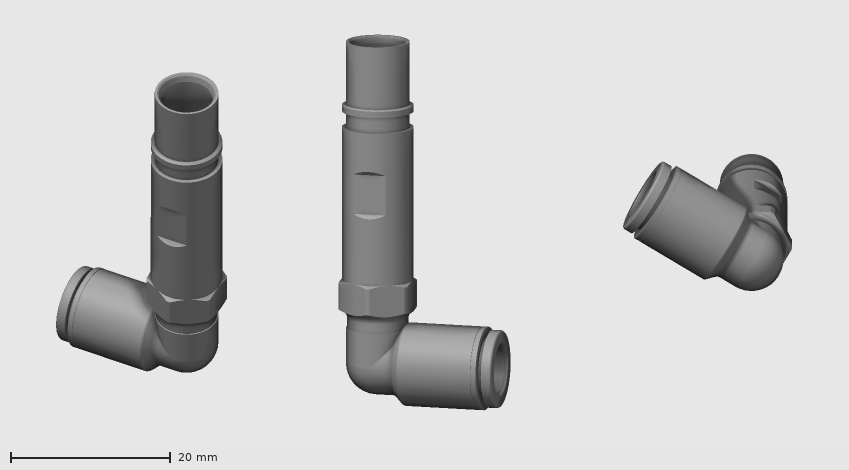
import cadquery as cq
import math


DIAGONAL = math.sqrt(0.5)
HALF_ARC = math.radians(22.5)

ELBOW_R = 4.0
ELBOW_TOP_Z = 4.5

NECK_R = 3.85
NECK_BLEND_Z = 5.75
NECK_BLEND_R = 1.0
HEX_FLAT_R = 4.5
HEX_CORNER_R = 5.05
HEX_HALF_ANGLE = math.radians(30)
HEX_BOTTOM_Z = 6.7
HEX_HEIGHT = 4.0
HEX_TOP_Z = HEX_BOTTOM_Z + HEX_HEIGHT
HEX_CHAMFER_H = (HEX_CORNER_R - HEX_FLAT_R) * math.tan(HEX_HALF_ANGLE)

BARREL_R = HEX_FLAT_R
BARREL_TOP_Z = 30.2
TUBE_R = 4.0
STEM_TOP_Z = 41.15
FLANGE_BOTTOM_Z = 32.25
FLANGE_TOP_Z = 33.2
FLANGE_CHAMFER_W = 0.25
FLANGE_CHAMFER_H = 0.15

FLAT_Y = 4.0
FLAT_BOTTOM_Z = 19.75
FLAT_TOP_Z = 24.8
FLAT_REACH = 2 * (BARREL_R - FLAT_Y)

BORE_R = 3.25
MOUTH_CHAMFER = 0.2
MOUTH_CONE_R = 3.5
MOUTH_DEPTH = 0.95
BORE_CONE_TOP_Z = 14.0
PILOT_R = 2.0
BORE_CONE_HALF_ANGLE = math.radians(59)
PILOT_FLOOR_Z = HEX_BOTTOM_Z
BORE_CONE_BOTTOM_Z = BORE_CONE_TOP_Z - (BORE_R - PILOT_R) / math.tan(BORE_CONE_HALF_ANGLE)
ORIFICE_R = 1.5
ORIFICE_FLOOR_Z = ELBOW_TOP_Z

SOCKET_R = 5.25
SOCKET_END_X = -14.1
SOCKET_EDGE_R = 0.45
SOCKET_BLEND_R = 0.9
BLEND_START_X = -2.23
CONE_START_X = BLEND_START_X - SOCKET_BLEND_R * DIAGONAL
CONE_START_R = ELBOW_R + SOCKET_BLEND_R * (1 - DIAGONAL)
CONE_END_X = CONE_START_X - (SOCKET_R - CONE_START_R)
EDGE_SETBACK = SOCKET_EDGE_R * math.tan(HALF_ARC)
SEAM_X = -13.38
SEAM_W = 0.12
SEAM_DEPTH = 0.1

COLLET_R = 4.9
COLLET_OUTER_X = -16.0
COLLET_INNER_X = -14.7
COLLET_EDGE_R = 0.3
COLLET_NECK_R = 4.0
TUBE_HOLE_R = 3.05
TUBE_HOLE_MOUTH_R = 3.35
TUBE_HOLE_MOUTH_DEPTH = 0.45
TUBE_HOLE_FLOOR_X = -4.0


def revolve_on_z(profile):
    """Revolve an XZ profile of (radius, z) points about the Z axis."""
    return profile.close().revolve(360, (0, 0), (0, 1))


def revolve_on_x(profile):
    """Revolve an XZ profile of (x, radius) points about the X axis."""
    return profile.close().revolve(360, (0, 0), (1, 0))


def make_stem():
    blend_top_z = NECK_BLEND_Z + NECK_BLEND_R * DIAGONAL
    blend_top_r = NECK_R + NECK_BLEND_R * (1 - DIAGONAL)
    blend_mid = (
        NECK_R + NECK_BLEND_R * (1 - math.cos(HALF_ARC)),
        NECK_BLEND_Z + NECK_BLEND_R * math.sin(HALF_ARC),
    )
    cone_top_r = blend_top_r + (HEX_BOTTOM_Z - blend_top_z)
    profile = (
        cq.Workplane("XZ")
        .moveTo(0, 0)
        .lineTo(ELBOW_R, 0)
        .lineTo(ELBOW_R, ELBOW_TOP_Z)
        .lineTo(NECK_R, ELBOW_TOP_Z)
        .lineTo(NECK_R, NECK_BLEND_Z)
        .threePointArc(blend_mid, (blend_top_r, blend_top_z))
        .lineTo(cone_top_r, HEX_BOTTOM_Z)
        .lineTo(BARREL_R, HEX_BOTTOM_Z)
        .lineTo(BARREL_R, BARREL_TOP_Z)
        .lineTo(TUBE_R, BARREL_TOP_Z)
        .lineTo(TUBE_R, FLANGE_BOTTOM_Z)
        .lineTo(BARREL_R, FLANGE_BOTTOM_Z)
        .lineTo(BARREL_R, FLANGE_TOP_Z - FLANGE_CHAMFER_H)
        .lineTo(BARREL_R - FLANGE_CHAMFER_W, FLANGE_TOP_Z)
        .lineTo(TUBE_R, FLANGE_TOP_Z)
        .lineTo(TUBE_R, STEM_TOP_Z)
        .lineTo(0, STEM_TOP_Z)
    )
    return revolve_on_z(profile)


def make_hexagon():
    """Hexagon with flats facing +X and -X, its corners turned round and chamfered."""
    sharp_diameter = 2 * HEX_FLAT_R / math.cos(HEX_HALF_ANGLE)
    prism = (
        cq.Workplane("XY")
        .workplane(offset=HEX_BOTTOM_Z)
        .polygon(6, sharp_diameter)
        .extrude(HEX_HEIGHT)
        .rotate((0, 0, 0), (0, 0, 1), math.degrees(HEX_HALF_ANGLE))
    )
    envelope = revolve_on_z(
        cq.Workplane("XZ")
        .moveTo(0, HEX_BOTTOM_Z)
        .lineTo(HEX_FLAT_R, HEX_BOTTOM_Z)
        .lineTo(HEX_CORNER_R, HEX_BOTTOM_Z + HEX_CHAMFER_H)
        .lineTo(HEX_CORNER_R, HEX_TOP_Z - HEX_CHAMFER_H)
        .lineTo(HEX_FLAT_R, HEX_TOP_Z)
        .lineTo(0, HEX_TOP_Z)
    )
    return prism.intersect(envelope)


def make_flat_cutter(side):
    """Cutter for one wrench flat; side is +1 or -1 along Y."""
    outer_y = FLAT_Y + FLAT_REACH
    return (
        cq.Workplane("YZ")
        .moveTo(side * FLAT_Y, FLAT_BOTTOM_Z)
        .lineTo(side * outer_y, FLAT_BOTTOM_Z - FLAT_REACH)
        .lineTo(side * outer_y, FLAT_TOP_Z + FLAT_REACH)
        .lineTo(side * FLAT_Y, FLAT_TOP_Z)
        .close()
        .extrude(BARREL_R, both=True)
    )


def make_stem_bore():
    return revolve_on_z(
        cq.Workplane("XZ")
        .moveTo(0, STEM_TOP_Z)
        .lineTo(MOUTH_CONE_R + MOUTH_CHAMFER, STEM_TOP_Z)
        .lineTo(MOUTH_CONE_R, STEM_TOP_Z - MOUTH_CHAMFER)
        .lineTo(BORE_R, STEM_TOP_Z - MOUTH_DEPTH)
        .lineTo(BORE_R, BORE_CONE_TOP_Z)
        .lineTo(PILOT_R, BORE_CONE_BOTTOM_Z)
        .lineTo(PILOT_R, PILOT_FLOOR_Z)
        .lineTo(ORIFICE_R, PILOT_FLOOR_Z)
        .lineTo(ORIFICE_R, ORIFICE_FLOOR_Z)
        .lineTo(0, ORIFICE_FLOOR_Z)
    )


def make_socket():
    blend_mid = (
        BLEND_START_X - SOCKET_BLEND_R * math.sin(HALF_ARC),
        ELBOW_R + SOCKET_BLEND_R * (1 - math.cos(HALF_ARC)),
    )
    edge_start_x = CONE_END_X - EDGE_SETBACK
    edge_mid = (
        edge_start_x + SOCKET_EDGE_R * math.sin(HALF_ARC),
        SOCKET_R - SOCKET_EDGE_R * (1 - math.cos(HALF_ARC)),
    )
    edge_end = (
        edge_start_x + SOCKET_EDGE_R * DIAGONAL,
        SOCKET_R - SOCKET_EDGE_R * (1 - DIAGONAL),
    )
    collet_edge_mid = (
        COLLET_OUTER_X + COLLET_EDGE_R * (1 - DIAGONAL),
        COLLET_R - COLLET_EDGE_R * (1 - DIAGONAL),
    )
    profile = (
        cq.Workplane("XZ")
        .moveTo(0, 0)
        .lineTo(0, ELBOW_R)
        .lineTo(BLEND_START_X, ELBOW_R)
        .threePointArc(blend_mid, (CONE_START_X, CONE_START_R))
        .lineTo(*edge_end)
        .threePointArc(edge_mid, (edge_start_x, SOCKET_R))
        .lineTo(SEAM_X, SOCKET_R)
        .lineTo(SEAM_X, SOCKET_R - SEAM_DEPTH)
        .lineTo(SEAM_X - SEAM_W, SOCKET_R - SEAM_DEPTH)
        .lineTo(SEAM_X - SEAM_W, SOCKET_R)
        .lineTo(SOCKET_END_X, SOCKET_R)
        .lineTo(SOCKET_END_X, COLLET_NECK_R)
        .lineTo(COLLET_INNER_X, COLLET_NECK_R)
        .lineTo(COLLET_INNER_X, COLLET_R)
        .lineTo(COLLET_OUTER_X + COLLET_EDGE_R, COLLET_R)
        .threePointArc(collet_edge_mid, (COLLET_OUTER_X, COLLET_R - COLLET_EDGE_R))
        .lineTo(COLLET_OUTER_X, 0)
    )
    return revolve_on_x(profile)


def make_tube_hole():
    return revolve_on_x(
        cq.Workplane("XZ")
        .moveTo(COLLET_OUTER_X, 0)
        .lineTo(COLLET_OUTER_X, TUBE_HOLE_MOUTH_R)
        .lineTo(COLLET_OUTER_X + TUBE_HOLE_MOUTH_DEPTH, TUBE_HOLE_R)
        .lineTo(TUBE_HOLE_FLOOR_X, TUBE_HOLE_R)
        .lineTo(TUBE_HOLE_FLOOR_X, 0)
    )


elbow_corner = cq.Workplane("XY").sphere(ELBOW_R)
result = make_stem().union(make_hexagon()).union(make_socket()).union(elbow_corner)
for flat_side in (1, -1):
    result = result.cut(make_flat_cutter(flat_side))
result = result.cut(make_stem_bore()).cut(make_tube_hole())